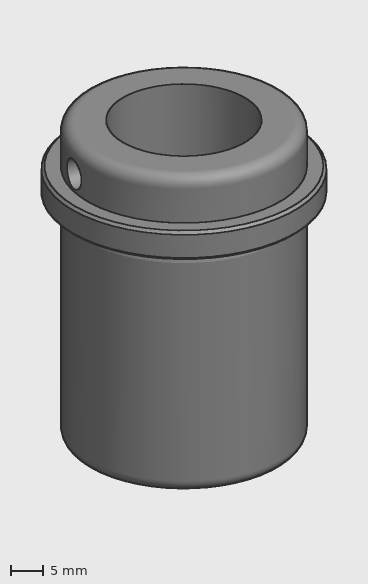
import cadquery as cq

height = 55.0
flange_diameter = 44.0
body_diameter = 38.0
bore_diameter = 24.0

flange_bottom = 42.0
flange_top = 47.0
flange_chamfer = 0.5

end_radius = 2.0
relief_height = 2.0
relief_depth = 0.55

hole_diameter = 5.0
hole_height = 50.0

body_radius = body_diameter / 2
bore_radius = bore_diameter / 2


def make_body():
    """Cylinder with both outer end edges rounded."""
    body = cq.Workplane("XY").circle(body_radius).extrude(height)
    return body.edges().fillet(end_radius)


def make_relief():
    """Ring removed below the flange, deepest against the flange."""
    return (
        cq.Workplane("XZ")
        .moveTo(body_radius, flange_bottom - relief_height)
        .lineTo(body_radius - relief_depth, flange_bottom)
        .lineTo(body_radius, flange_bottom)
        .close()
        .revolve(360, (0, 0, 0), (0, 1, 0))
    )


def make_flange():
    """Collar with both outer edges chamfered."""
    flange = (
        cq.Workplane("XY")
        .workplane(offset=flange_bottom)
        .circle(flange_diameter / 2)
        .extrude(flange_top - flange_bottom)
    )
    return flange.edges().chamfer(flange_chamfer)


def make_bore():
    return cq.Workplane("XY").circle(bore_radius).extrude(height)


def make_radial_hole():
    """Drill running from the axis out through the -Y wall."""
    return (
        cq.Workplane("XZ")
        .center(0, hole_height)
        .circle(hole_diameter / 2)
        .extrude(body_radius)
    )


result = (
    make_body()
    .cut(make_relief())
    .union(make_flange())
    .cut(make_bore())
    .cut(make_radial_hole())
)